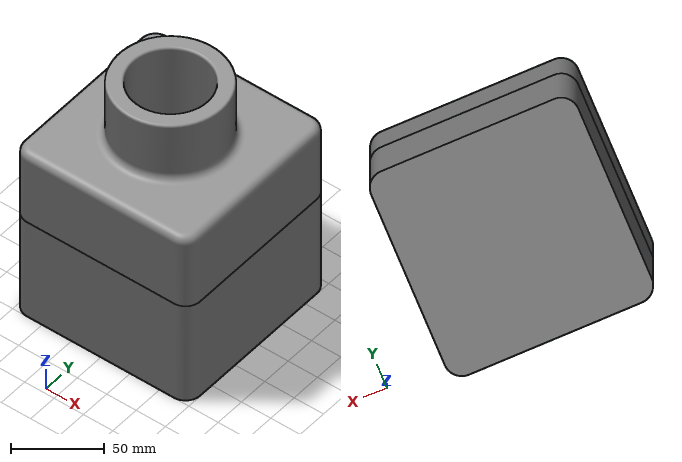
import cadquery as cq

block_side = 120.0
block_height = 120.0
base_height = 70.0
corner_radius = 10.0
top_edge_radius = 5.0

total_height = 160.0
neck_diameter = 70.0
bore_diameter = 50.0
neck_root_radius = 5.0
rim_radius = 1.5

cover_height = block_height - base_height
neck_height = total_height - block_height


def rounded_block(height, bottom):
    """Square block with rounded vertical corners."""
    return (
        cq.Workplane("XY", origin=(0, 0, bottom))
        .rect(block_side, block_side)
        .extrude(height)
        .edges("|Z")
        .fillet(corner_radius)
    )


def make_base():
    """Plain lower block, whose flat top closes the bore of the cover."""
    return rounded_block(base_height, 0)


def make_cover():
    """Upper block with a rounded top edge and a bored neck."""
    cover = rounded_block(cover_height, base_height).faces(">Z").edges().fillet(top_edge_radius)
    neck = cq.Workplane("XY", origin=(0, 0, block_height)).circle(neck_diameter / 2).extrude(neck_height)
    cover = cover.union(neck)

    root_finder = cq.selectors.BoxSelector(
        (-neck_diameter, -neck_diameter, block_height - rim_radius),
        (neck_diameter, neck_diameter, block_height + rim_radius),
    )
    cover = cover.edges("%CIRCLE").edges(root_finder).fillet(neck_root_radius)

    cover = cover.faces(">Z").workplane(origin=(0, 0, 0)).circle(bore_diameter / 2).cutThruAll()
    return cover.faces(">Z").edges().fillet(rim_radius)


base = make_base()
cover = make_cover()

result = cq.Compound.makeCompound([base.val(), cover.val()])